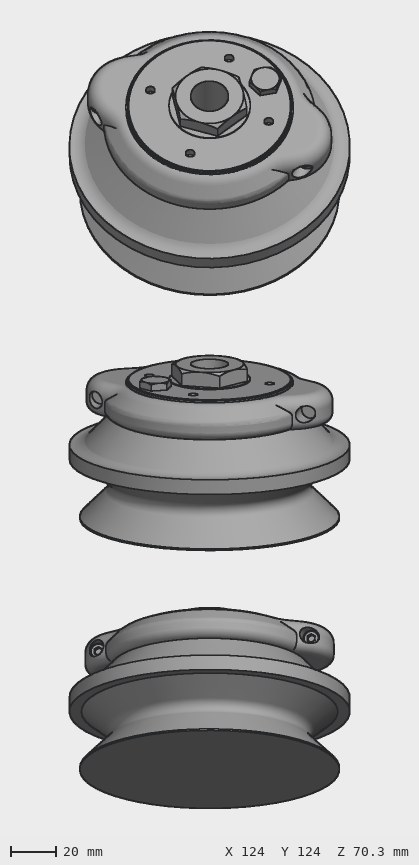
import cadquery as cq
import math

CUP_RADIUS = 62.0
LIP_RADIUS = 57.4
LIP_HEIGHT = 0.7
WAIST_RADIUS = 44.8
WAIST_CONE_RADIUS = 46.4
WAIST_BOTTOM = 11.8
WAIST_MIDDLE = 15.1
WAIST_TOP = 18.5
FLANGE_BOTTOM = 26.8
FLANGE_TOP = 33.5
FLANGE_ROOT_RADIUS = 56.7
FLANGE_LEDGE_RADIUS = 59.6
NECK_CONE_RADIUS = 55.2
NECK_CONE_BOTTOM = 35.1
NECK_TOP_RADIUS = 43.8

COLLAR_BOTTOM = 47.0
COLLAR_TOP = 62.1
COLLAR_RADIUS = 46.9
TOP_ROUND = 6.2
SIDE_ROUND = 3.1
BOTTOM_ROUND = 4.1
COLLAR_SHOULDER_RADIUS = 43.5

EAR_REACH = 55.7
EAR_TIP_RADIUS = 19.8
EAR_FLANK_ANGLE = 29.0
EAR_BLEND_RADIUS = 12.4

SCREW_X = 48.0
SCREW_Z = 54.4
SCREW_DIAMETER = 7.5
SCREW_FACE_Y = -11.2
SCREW_CHAMFER = 0.5
SCREW_SOCKET_FLATS = 3.3
SCREW_SOCKET_DEPTH = 1.9
REAR_BORE_FLOOR_Y = 7.5

PLATE_DIAMETER = 72.5
GROOVE_DIAMETER = 74.0
GROOVE_DEPTH = 0.6
PLATE_TOP = 63.2
PLATE_CHAMFER = 0.5
BOSS_DIAMETER = 36.0
BOSS_TOP = 63.6
NUT_FLATS = 30.0
NUT_TOP = 70.3
BORE_DIAMETER = 16.6
PITCH_RADIUS = 27.5
PLATE_HOLE_DIAMETER = 4.0
PLATE_HOLE_DEPTH = 3.7
PLATE_HOLE_ANGLES = (0, 90, 180, 270)
PLUG_ANGLE = 45
PLUG_FLATS = 12.4
PLUG_TOP = 66.6
HEX_CHAMFER_ANGLE = 30.0

COS_45 = math.cos(math.radians(45))
HEX_HALF_CORNER = math.radians(30)
ARC_MIDDLE_LOW = 22.5
ARC_MIDDLE_HIGH = 67.5
SELECTION_MARGIN = 1.2


def polar(radius, degrees):
    angle = math.radians(degrees)
    return (radius * math.cos(angle), radius * math.sin(angle))


def suction_cup():
    """Solid bellows cup with a flange, turned about Z."""
    ledge_round = (NECK_CONE_BOTTOM - FLANGE_TOP) / (1 - COS_45)
    ledge_middle = (
        FLANGE_LEDGE_RADIUS - ledge_round * math.sin(math.radians(ARC_MIDDLE_LOW)),
        FLANGE_TOP + ledge_round * (1 - math.cos(math.radians(ARC_MIDDLE_LOW))),
    )
    profile = (
        cq.Workplane("XZ")
        .moveTo(0, 0)
        .lineTo(LIP_RADIUS, 0)
        .lineTo(LIP_RADIUS, LIP_HEIGHT)
        .lineTo(WAIST_CONE_RADIUS, WAIST_BOTTOM)
        .threePointArc((WAIST_RADIUS, WAIST_MIDDLE), (WAIST_CONE_RADIUS, WAIST_TOP))
        .lineTo(FLANGE_ROOT_RADIUS, FLANGE_BOTTOM)
        .lineTo(CUP_RADIUS, FLANGE_BOTTOM)
        .lineTo(CUP_RADIUS, FLANGE_TOP)
        .lineTo(FLANGE_LEDGE_RADIUS, FLANGE_TOP)
        .threePointArc(ledge_middle, (NECK_CONE_RADIUS, NECK_CONE_BOTTOM))
        .lineTo(NECK_TOP_RADIUS, COLLAR_BOTTOM)
        .lineTo(0, COLLAR_BOTTOM)
        .close()
    )
    return profile.revolve(360, (0, 0, 0), (0, 1, 0))


def collar():
    """Turned collar with a 45 degree shoulder between two roundings and a rounded underside."""
    top_face_radius = COLLAR_SHOULDER_RADIUS - TOP_ROUND
    top_centre_z = COLLAR_TOP - TOP_ROUND
    shoulder_top = (top_face_radius + TOP_ROUND * COS_45, top_centre_z + TOP_ROUND * COS_45)
    top_middle = polar(TOP_ROUND, ARC_MIDDLE_HIGH)
    side_centre_r = COLLAR_RADIUS - SIDE_ROUND
    shoulder_bottom_r = side_centre_r + SIDE_ROUND * COS_45
    shoulder_bottom_z = shoulder_top[1] - (shoulder_bottom_r - shoulder_top[0])
    side_centre_z = shoulder_bottom_z - SIDE_ROUND * COS_45
    side_middle = polar(SIDE_ROUND, ARC_MIDDLE_LOW)
    bottom_centre = (COLLAR_RADIUS - BOTTOM_ROUND, COLLAR_BOTTOM + BOTTOM_ROUND)
    bottom_middle = polar(BOTTOM_ROUND, -45)
    profile = (
        cq.Workplane("XZ")
        .moveTo(0, COLLAR_BOTTOM)
        .lineTo(bottom_centre[0], COLLAR_BOTTOM)
        .threePointArc(
            (bottom_centre[0] + bottom_middle[0], bottom_centre[1] + bottom_middle[1]),
            (COLLAR_RADIUS, bottom_centre[1]),
        )
        .lineTo(COLLAR_RADIUS, side_centre_z)
        .threePointArc(
            (side_centre_r + side_middle[0], side_centre_z + side_middle[1]),
            (shoulder_bottom_r, shoulder_bottom_z),
        )
        .lineTo(*shoulder_top)
        .threePointArc(
            (top_face_radius + top_middle[0], top_centre_z + top_middle[1]),
            (top_face_radius, COLLAR_TOP),
        )
        .lineTo(0, COLLAR_TOP)
        .close()
    )
    return profile.revolve(360, (0, 0, 0), (0, 1, 0))


def ear():
    """Ear on the +X side: round tip, straight flanks, concave blends into the collar."""
    tip_centre_x = EAR_REACH - EAR_TIP_RADIUS
    normal = polar(1, 90 - EAR_FLANK_ANGLE)
    along = polar(1, 180 - EAR_FLANK_ANGLE)
    tip_end = (tip_centre_x + EAR_TIP_RADIUS * normal[0], EAR_TIP_RADIUS * normal[1])

    blend_offset = tip_centre_x * normal[0] + EAR_TIP_RADIUS + EAR_BLEND_RADIUS
    blend_reach = COLLAR_SHOULDER_RADIUS + EAR_BLEND_RADIUS
    blend_along = -math.sqrt(blend_reach**2 - blend_offset**2)
    centre = [blend_offset * n + blend_along * a for n, a in zip(normal, along)]
    flank_end = [c - EAR_BLEND_RADIUS * n for c, n in zip(centre, normal)]
    collar_end = [c * COLLAR_SHOULDER_RADIUS / blend_reach for c in centre]
    toward_middle = [f + e - 2 * c for f, e, c in zip(flank_end, collar_end, centre)]
    length = math.hypot(*toward_middle)
    blend_middle = [c + EAR_BLEND_RADIUS * d / length for c, d in zip(centre, toward_middle)]

    def mirrored(point):
        return (point[0], -point[1])

    block = (
        cq.Workplane("XY", origin=(0, 0, COLLAR_BOTTOM))
        .moveTo(0, 0)
        .lineTo(*mirrored(collar_end))
        .threePointArc(mirrored(blend_middle), mirrored(flank_end))
        .lineTo(*mirrored(tip_end))
        .threePointArc((EAR_REACH, 0), tip_end)
        .lineTo(*flank_end)
        .threePointArc(tuple(blend_middle), tuple(collar_end))
        .close()
        .extrude(COLLAR_TOP - COLLAR_BOTTOM)
    )
    sharp_edge_middle_x = collar_end[0] / 2
    inner_limit = (sharp_edge_middle_x + collar_end[0]) / 2
    outer_edges = cq.selectors.BoxSelector(
        (inner_limit, -CUP_RADIUS, COLLAR_BOTTOM - SELECTION_MARGIN),
        (CUP_RADIUS, CUP_RADIUS, COLLAR_TOP + SELECTION_MARGIN),
    )
    block = block.faces(">Z").edges(outer_edges).fillet(TOP_ROUND)
    return block.faces("<Z").edges(outer_edges).fillet(BOTTOM_ROUND)


def screw_bore(x):
    """Bores that leave a chamfered screw head with a hexagon socket at the front."""
    radius = SCREW_DIAMETER / 2
    front = (
        cq.Workplane("XZ", origin=(x, SCREW_FACE_Y, SCREW_Z))
        .circle(radius)
        .extrude(CUP_RADIUS + SCREW_FACE_Y)
    )
    head_edge = (
        cq.Workplane("XY", origin=(x, SCREW_FACE_Y, SCREW_Z))
        .moveTo(radius - SCREW_CHAMFER, 0)
        .lineTo(radius, 0)
        .lineTo(radius, SCREW_CHAMFER)
        .close()
        .revolve(360, (0, 0, 0), (0, 1, 0))
    )
    socket = (
        cq.Workplane("XZ", origin=(x, SCREW_FACE_Y, SCREW_Z))
        .transformed(rotate=(0, 0, 90))
        .polygon(6, SCREW_SOCKET_FLATS / math.cos(HEX_HALF_CORNER))
        .extrude(-SCREW_SOCKET_DEPTH)
    )
    rear = (
        cq.Workplane("XZ", origin=(x, CUP_RADIUS, SCREW_Z))
        .circle(radius)
        .extrude(CUP_RADIUS - REAR_BORE_FLOOR_Y)
    )
    return front.union(head_edge).union(socket).union(rear)


def hexagon_head(flats, bottom, top, rotation):
    """Hexagon whose top corners are cut by a cone through the inscribed circle."""
    corners = flats / math.cos(HEX_HALF_CORNER)
    height = top - bottom
    drop = (corners - flats) / 2 * math.tan(math.radians(HEX_CHAMFER_ANGLE))
    prism = cq.Workplane("XY").polygon(6, corners).extrude(height)
    prism = prism.rotate((0, 0, 0), (0, 0, 1), rotation)
    envelope = (
        cq.Workplane("XZ")
        .moveTo(0, 0)
        .lineTo(corners / 2, 0)
        .lineTo(corners / 2, height - drop)
        .lineTo(flats / 2, height)
        .lineTo(0, height)
        .close()
        .revolve(360, (0, 0, 0), (0, 1, 0))
    )
    return prism.intersect(envelope).translate((0, 0, bottom))


def plate():
    """Round plate with a raised boss, a large hexagon nut and a small hexagon plug."""
    groove_floor = COLLAR_TOP - GROOVE_DEPTH
    disc = (
        cq.Workplane("XY", origin=(0, 0, groove_floor))
        .circle(PLATE_DIAMETER / 2)
        .extrude(PLATE_TOP - groove_floor)
        .faces(">Z")
        .chamfer(PLATE_CHAMFER)
    )
    boss = (
        cq.Workplane("XY", origin=(0, 0, PLATE_TOP))
        .circle(BOSS_DIAMETER / 2)
        .extrude(BOSS_TOP - PLATE_TOP)
    )
    nut = hexagon_head(NUT_FLATS, BOSS_TOP, NUT_TOP, 0)
    plug = hexagon_head(PLUG_FLATS, PLATE_TOP, PLUG_TOP, 30).translate(polar(PITCH_RADIUS, PLUG_ANGLE))
    return disc.union(boss).union(nut).union(plug)


def holder():
    """Collar with two ears and clamp screws, carrying the plate; bored through the middle."""
    body = collar()
    for angle in (0, 180):
        body = body.union(ear().rotate((0, 0, 0), (0, 0, 1), angle))
    for x in (-SCREW_X, SCREW_X):
        body = body.cut(screw_bore(x))
    plate_recess = (
        cq.Workplane("XY", origin=(0, 0, COLLAR_TOP - GROOVE_DEPTH))
        .circle(GROOVE_DIAMETER / 2)
        .extrude(GROOVE_DEPTH)
    )
    body = body.cut(plate_recess).union(plate())
    bore = (
        cq.Workplane("XY", origin=(0, 0, COLLAR_BOTTOM))
        .circle(BORE_DIAMETER / 2)
        .extrude(NUT_TOP - COLLAR_BOTTOM)
    )
    holes = (
        cq.Workplane("XY", origin=(0, 0, PLATE_TOP))
        .pushPoints([polar(PITCH_RADIUS, angle) for angle in PLATE_HOLE_ANGLES])
        .circle(PLATE_HOLE_DIAMETER / 2)
        .extrude(-PLATE_HOLE_DEPTH)
    )
    return body.cut(bore).cut(holes)


cup = suction_cup()
cup_holder = holder()
result = cq.Compound.makeCompound([cup.val(), cup_holder.solids().val()])